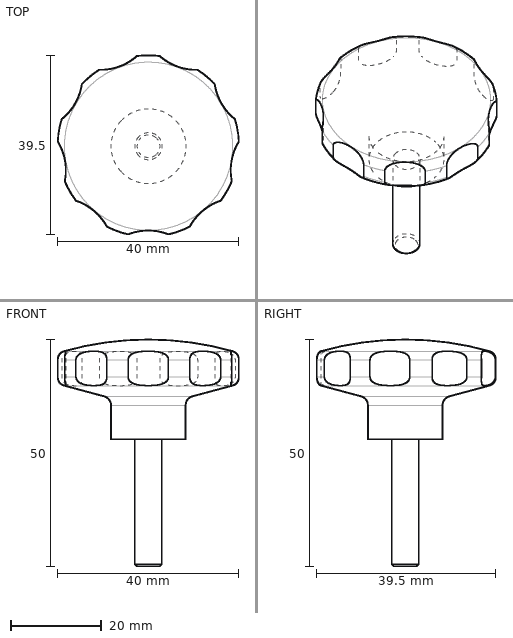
import cadquery as cq
import math


rim_radius = 20.0
rim_edge_radius = 2.0
rim_wall_top = 17.5
head_top = 22.0
underside_angle = math.radians(15.0)

hub_radius = 8.25
hub_wall_height = 7.5
hub_blend_radius = 2.0

scallop_count = 9
scallop_radius = 12.0
scallop_floor_radius = 18.65
scallop_start_angle = -90.0

stud_radius = 3.0
stud_length = 28.0
stud_chamfer = 0.5

edge_centre_radius = rim_radius - rim_edge_radius
blend_centre_radius = hub_radius + hub_blend_radius
cone_run = (
    edge_centre_radius
    - blend_centre_radius
    + (rim_edge_radius + hub_blend_radius) * math.sin(underside_angle)
)
rim_wall_bottom = (
    hub_wall_height
    + (hub_blend_radius + rim_edge_radius) * math.cos(underside_angle)
    + cone_run * math.tan(underside_angle)
)

crown_rise = head_top - rim_wall_top
dome_radius = (edge_centre_radius**2 + crown_rise**2 - rim_edge_radius**2) / (
    2 * (crown_rise - rim_edge_radius)
)
dome_edge_angle = math.asin(edge_centre_radius / (dome_radius - rim_edge_radius))


def polar_point(centre, radius, angle):
    """Point at a distance and angle (radians, from the radial axis) around a centre."""
    return (centre[0] + radius * math.cos(angle), centre[1] + radius * math.sin(angle))


def make_head_and_hub():
    """Revolve the smooth outline of hub, conical underside, rim and dome."""
    quarter_turn = math.pi / 2
    blend_centre = (blend_centre_radius, hub_wall_height)
    lower_centre = (edge_centre_radius, rim_wall_bottom)
    upper_centre = (edge_centre_radius, rim_wall_top)
    dome_centre = (0, head_top - dome_radius)

    blend_end_angle = quarter_turn + underside_angle
    blend_mid_angle = (math.pi + blend_end_angle) / 2
    lower_start_angle = underside_angle - quarter_turn
    upper_end_angle = quarter_turn - dome_edge_angle
    dome_mid_angle = quarter_turn - dome_edge_angle / 2

    outline = (
        cq.Workplane("XZ")
        .moveTo(0, 0)
        .lineTo(hub_radius, 0)
        .lineTo(hub_radius, hub_wall_height)
        .threePointArc(
            polar_point(blend_centre, hub_blend_radius, blend_mid_angle),
            polar_point(blend_centre, hub_blend_radius, blend_end_angle),
        )
        .lineTo(*polar_point(lower_centre, rim_edge_radius, lower_start_angle))
        .threePointArc(
            polar_point(lower_centre, rim_edge_radius, lower_start_angle / 2),
            (rim_radius, rim_wall_bottom),
        )
        .lineTo(rim_radius, rim_wall_top)
        .threePointArc(
            polar_point(upper_centre, rim_edge_radius, upper_end_angle / 2),
            polar_point(upper_centre, rim_edge_radius, upper_end_angle),
        )
        .threePointArc(
            polar_point(dome_centre, dome_radius, dome_mid_angle),
            (0, head_top),
        )
        .close()
    )
    return outline.revolve(360, (0, 0, 0), (0, 1, 0))


def make_scallop_cutters():
    """Vertical cylinders spaced evenly around the rim."""
    return (
        cq.Workplane("XY")
        .polarArray(
            scallop_floor_radius + scallop_radius,
            scallop_start_angle,
            360,
            scallop_count,
        )
        .circle(scallop_radius)
        .extrude(head_top)
    )


def make_stud():
    """Plain stud hanging below the hub, chamfered at its free end."""
    return (
        cq.Workplane("XY")
        .circle(stud_radius)
        .extrude(-stud_length)
        .faces("<Z")
        .chamfer(stud_chamfer)
    )


knob = make_head_and_hub().cut(make_scallop_cutters())
result = knob.union(make_stud())